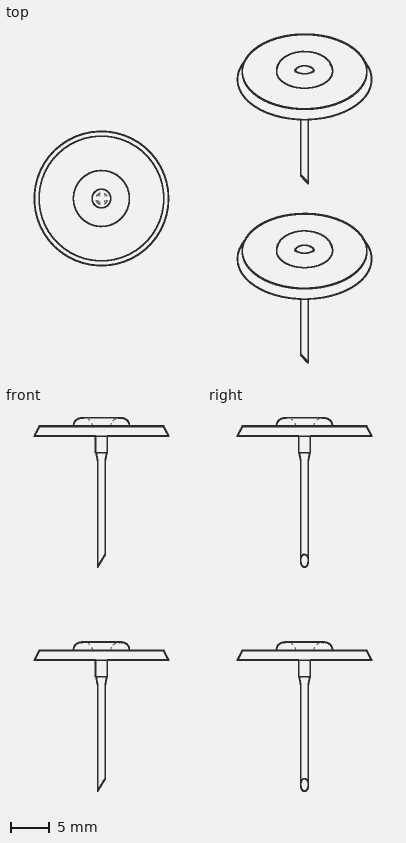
import cadquery as cq

total_height = 48.0
tack_height = 19.2
tack_pitch = total_height - tack_height
tack_count = 2

disc_bottom_radius = 8.65
disc_top_radius = 8.0
disc_thickness = 1.3
rim_land_height = 0.1

ring_crest_radius = 2.4
ring_half_width = 1.2
ring_outer_radius = ring_crest_radius + ring_half_width
ring_inner_radius = ring_crest_radius - ring_half_width
ring_height = 1.05
ring_base_height = 0.1

collar_radius = 0.75
collar_length = 2.15
neck_top_diameter = 1.4
neck_top_radius = neck_top_diameter / 2
neck_length = 1.0
needle_diameter = 1.0
needle_radius = needle_diameter / 2
bevel_height = 1.65

disc_top = tack_height - ring_height
ring_base_top = disc_top + ring_base_height
crown_height = ring_height - ring_base_height
disc_bottom = disc_top - disc_thickness
collar_bottom = disc_bottom - collar_length
neck_bottom = collar_bottom - neck_length


def make_body_of_revolution():
    """Disc, ring and stem turned from one half profile about the Z axis."""
    return (
        cq.Workplane("XZ")
        .moveTo(0, 0)
        .lineTo(needle_radius, 0)
        .lineTo(needle_radius, neck_bottom)
        .lineTo(neck_top_radius, collar_bottom)
        .lineTo(collar_radius, collar_bottom)
        .lineTo(collar_radius, disc_bottom)
        .lineTo(disc_bottom_radius, disc_bottom)
        .lineTo(disc_top_radius, disc_top - rim_land_height)
        .lineTo(disc_top_radius, disc_top)
        .lineTo(ring_outer_radius, disc_top)
        .lineTo(ring_outer_radius, ring_base_top)
        .ellipseArc(ring_half_width, crown_height, 0, 90, startAtCurrent=True)
        .ellipseArc(ring_half_width, crown_height, 90, 180, startAtCurrent=True)
        .lineTo(ring_inner_radius, disc_top)
        .lineTo(0, disc_top)
        .close()
        .revolve(360, (0, 0, 0), (0, 1, 0))
    )


def make_bevel_cutter():
    """Wedge that slants the needle end to a point on its -X side."""
    return (
        cq.Workplane("XZ")
        .moveTo(-needle_radius, 0)
        .lineTo(needle_radius, 0)
        .lineTo(needle_radius, bevel_height)
        .close()
        .extrude(needle_radius, both=True)
    )


def make_tack(tip_height):
    """One complete tack with its needle tip at the given height."""
    tack = make_body_of_revolution().cut(make_bevel_cutter())
    return tack.translate((0, 0, tip_height))


tacks = []
for index in range(tack_count):
    tacks.append(make_tack(index * tack_pitch).val())

result = cq.Compound.makeCompound(tacks)